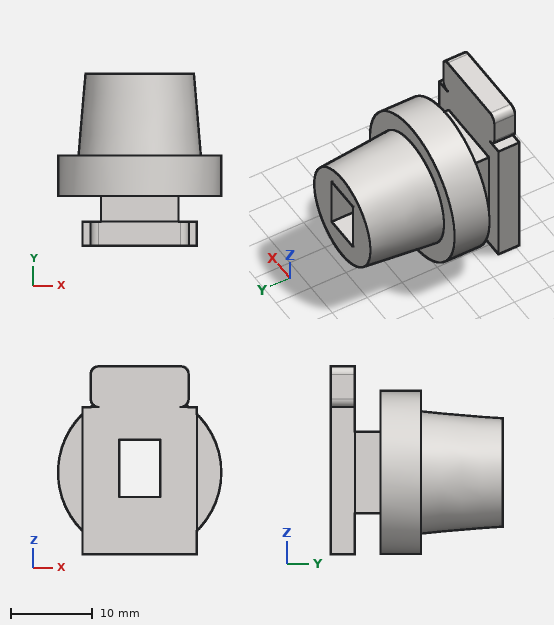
import cadquery as cq

disc_diameter = 20.0
disc_thickness = 5.0
plug_base_diameter = 15.0
plug_tip_diameter = 13.3
plug_length = 10.0
neck_width = 9.5
neck_height = 10.0
neck_length = 3.1
plate_width = 14.0
plate_height = 18.0
plate_thickness = 3.0
tab_width = 12.0
tab_height = 5.0
tab_corner_radius = 1.0
window_width = 5.0
window_height = 7.0
window_center_z = 0.5

plate_front_y = 0.0
plate_back_y = plate_front_y + plate_thickness
disc_front_y = plate_back_y + neck_length
disc_back_y = disc_front_y + disc_thickness
plug_tip_y = disc_back_y + plug_length

plate_bottom_z = -disc_diameter / 2
plate_top_z = plate_bottom_z + plate_height


def plane_at(y, z=0.0):
    """Work plane at the given Y and Z whose normal points along +Y."""
    return cq.Workplane(cq.Plane(origin=(0, y, z), xDir=(1, 0, 0), normal=(0, 1, 0)))


def block(width, height, center_z, front_y, length):
    """Rectangular bar centred on X = 0 that runs along +Y."""
    return plane_at(front_y, center_z).rect(width, height).extrude(length)


def tapered_plug():
    """Round plug that narrows from the disc to its free end."""
    return (
        plane_at(disc_back_y)
        .circle(plug_base_diameter / 2)
        .workplane(offset=plug_length)
        .circle(plug_tip_diameter / 2)
        .loft()
    )


def rounded_tab():
    """Tab above the plate; its lower round corners touch the plate top."""
    center_z = plate_top_z + tab_height / 2
    tab = block(tab_width, tab_height, center_z, plate_front_y, plate_thickness)
    return tab.edges("|Y").fillet(tab_corner_radius)


disc = plane_at(disc_front_y).circle(disc_diameter / 2).extrude(disc_thickness)
neck = block(neck_width, neck_height, 0, plate_back_y, neck_length)
plate_center_z = plate_bottom_z + plate_height / 2
plate = block(plate_width, plate_height, plate_center_z, plate_front_y, plate_thickness)

window = block(window_width, window_height, window_center_z, plate_front_y, plug_tip_y - plate_front_y)

result = disc.union(tapered_plug()).union(neck).union(plate).union(rounded_tab()).cut(window)